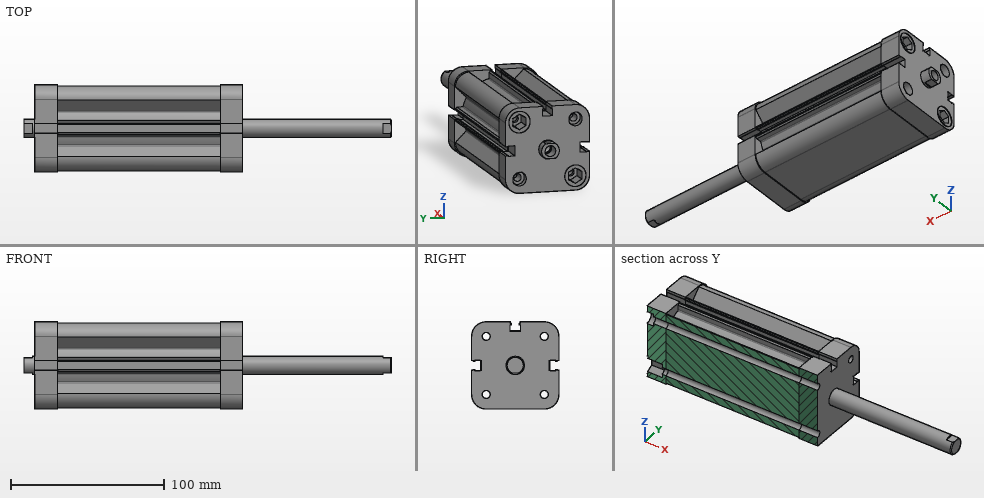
import cadquery as cq
import math


rod_length = 240.0
rear_cap_start = 7.0
rear_cap_length = 15.0
barrel_length = 106.0
front_cap_length = 14.6
barrel_start = rear_cap_start + rear_cap_length
front_cap_start = barrel_start + barrel_length

cap_side = 57.0
cap_corner_radius = 9.5
barrel_inset = 0.7
cap_half = cap_side / 2
barrel_half = cap_half - barrel_inset
barrel_corner_radius = 9.4

bolt_offset = cap_half - cap_corner_radius
bolt_hole_diameter = 5.0
counterbore_diameter = 9.0
hex_across_flats = 9.0
hex_across_corners = hex_across_flats / math.cos(math.pi / 6)
counterbore_depth = 5.0
socket_depth = 12.0
spot_face_diameter = 14.5
spot_face_depth = 0.5

slot_side_angles = (90, 0, -90)
slot_width = 6.7
lip_bottom = 26.5
cap_slot_floor = 22.0
barrel_slot_floor = 22.8
cap_mouth_width = 6.2
barrel_mouth_width = 5.0
barrel_lip_chamfer = (cap_mouth_width - barrel_mouth_width) / 2

pocket_half_width = barrel_half - barrel_corner_radius
pocket_floor_radius = 23.3
rail_half_width = 5.0
rail_chamfer = 1.0
pocket_foot_radius = 0.7

rod_diameter = 12.0
flat_spacing = 10.0
flat_length = 5.5
rod_tip_chamfer = 0.7
thread_diameter = 7.2
thread_depth = 9.5
core_diameter = 6.5
core_depth = 12.0
drill_point_angle = 118

through_length = rod_length
rod_radius = rod_diameter / 2


def section(x):
    """Workplane across the axis at X = x, with local x along Y and local y along Z."""
    return cq.Workplane("YZ", origin=(x, 0, 0))


def on_slot_sides(cutter):
    """Copies of a cutter drawn on the +Z side, turned to every side that has a slot."""
    return [cutter.rotate((0, 0, 0), (1, 0, 0), angle) for angle in slot_side_angles]


def cut_all(body, cutters):
    for cutter in cutters:
        body = body.cut(cutter)
    return body


def rounded_square(start, length, half_side, corner_radius):
    side = 2 * half_side
    return section(start).rect(side, side).extrude(length).edges("|X").fillet(corner_radius)


def slot_cutter(start, length, floor, lip_edge):
    """T-slot open to +Z; lip_edge lists the points of the +Y lip from its underside outward."""
    half = slot_width / 2
    right_side = [(half, floor), (half, lip_bottom), *lip_edge]
    left_side = [(-y, z) for y, z in reversed(right_side)]
    return section(start).polyline(right_side + left_side).close().extrude(length)


def bolt_holes():
    spacing = 2 * bolt_offset
    holes = section(0).rect(spacing, spacing, forConstruction=True).vertices()
    return holes.circle(bolt_hole_diameter / 2).extrude(through_length)


def rod_hole():
    return section(0).circle(rod_radius).extrude(through_length)


def cap(start, length):
    body = rounded_square(start, length, cap_half, cap_corner_radius)
    mouth = cap_mouth_width / 2
    slot = slot_cutter(start, length, cap_slot_floor, [(mouth, lip_bottom), (mouth, cap_half)])
    body = cut_all(body, on_slot_sides(slot))
    return body.cut(bolt_holes()).cut(rod_hole())


def rear_cap():
    face = section(rear_cap_start)
    round_corners = [(-bolt_offset, bolt_offset), (bolt_offset, -bolt_offset)]
    hex_corners = [(bolt_offset, bolt_offset), (-bolt_offset, -bolt_offset)]
    counterbores = face.pushPoints(round_corners).circle(counterbore_diameter / 2).extrude(counterbore_depth)
    spot_faces = face.pushPoints(hex_corners).circle(spot_face_diameter / 2).extrude(spot_face_depth)
    body = cut_all(cap(rear_cap_start, rear_cap_length), [counterbores, spot_faces])
    for y, z in hex_corners:
        socket = cq.Workplane("YZ").polygon(6, hex_across_corners).extrude(socket_depth)
        socket = socket.rotate((0, 0, 0), (1, 0, 0), 30)
        body = body.cut(socket.translate((rear_cap_start, y, z)))
    return body


def front_cap():
    return cap(front_cap_start, front_cap_length)


def barrel_slot_cutter():
    """The slot on the +Z side, narrowed at its mouth by two chamfered lips."""
    mouth = barrel_mouth_width / 2
    lip_edge = [
        (mouth, lip_bottom),
        (mouth, barrel_half - barrel_lip_chamfer),
        (mouth + barrel_lip_chamfer, barrel_half),
    ]
    return slot_cutter(barrel_start, barrel_length, barrel_slot_floor, lip_edge)


def pocket_cutters():
    """The two pockets beside the rail on the +Z side, with 45 degree outer walls and a round floor."""
    rail_foot_z = math.sqrt(pocket_floor_radius**2 - rail_half_width**2)
    wall_rise = barrel_half - pocket_half_width
    wall_foot_y = (math.sqrt(2 * pocket_floor_radius**2 - wall_rise**2) - wall_rise) / 2
    wall_foot_z = wall_foot_y + wall_rise
    mid_y = (rail_half_width + wall_foot_y) / 2
    mid_z = math.sqrt(pocket_floor_radius**2 - mid_y**2)
    pocket = (
        section(barrel_start)
        .moveTo(rail_half_width - rail_chamfer, barrel_half)
        .lineTo(rail_half_width, barrel_half - rail_chamfer)
        .lineTo(rail_half_width, rail_foot_z)
        .threePointArc((mid_y, mid_z), (wall_foot_y, wall_foot_z))
        .lineTo(pocket_half_width, barrel_half)
        .close()
        .extrude(barrel_length)
    )
    for foot_y, foot_z in ((rail_half_width, rail_foot_z), (wall_foot_y, wall_foot_z)):
        foot = (barrel_start + barrel_length / 2, foot_y, foot_z)
        foot_edge = cq.selectors.NearestToPointSelector(foot)
        pocket = pocket.edges(foot_edge).fillet(pocket_foot_radius)
    return [pocket, pocket.mirror("XZ")]


def barrel():
    body = rounded_square(barrel_start, barrel_length, barrel_half, barrel_corner_radius)
    for cutter in [barrel_slot_cutter(), *pocket_cutters()]:
        body = cut_all(body, on_slot_sides(cutter))
    return body.cut(bolt_holes()).cut(rod_hole())


def piston_rod():
    body = section(0).circle(rod_radius).extrude(rod_length)
    body = body.faces(">X").chamfer(rod_tip_chamfer)
    flats_gap = cq.Workplane("XY").box(flat_length, rod_diameter, flat_spacing)
    for middle in (flat_length / 2, rod_length - flat_length / 2):
        outside = cq.Workplane("XY").box(flat_length, rod_diameter, rod_diameter).cut(flats_gap)
        body = body.cut(outside.translate((middle, 0, 0)))
    return body.cut(thread_hole())


def thread_hole():
    thread_radius = thread_diameter / 2
    core_radius = core_diameter / 2
    point_length = core_radius / math.tan(math.radians(drill_point_angle / 2))
    outline = [
        (0, 0),
        (0, thread_radius),
        (thread_depth, thread_radius),
        (thread_depth, core_radius),
        (core_depth, core_radius),
        (core_depth + point_length, 0),
    ]
    return cq.Workplane("XY").polyline(outline).close().revolve(360, (0, 0, 0), (1, 0, 0))


result = cq.Compound.makeCompound(
    [rear_cap().val(), barrel().val(), front_cap().val(), piston_rod().val()]
)